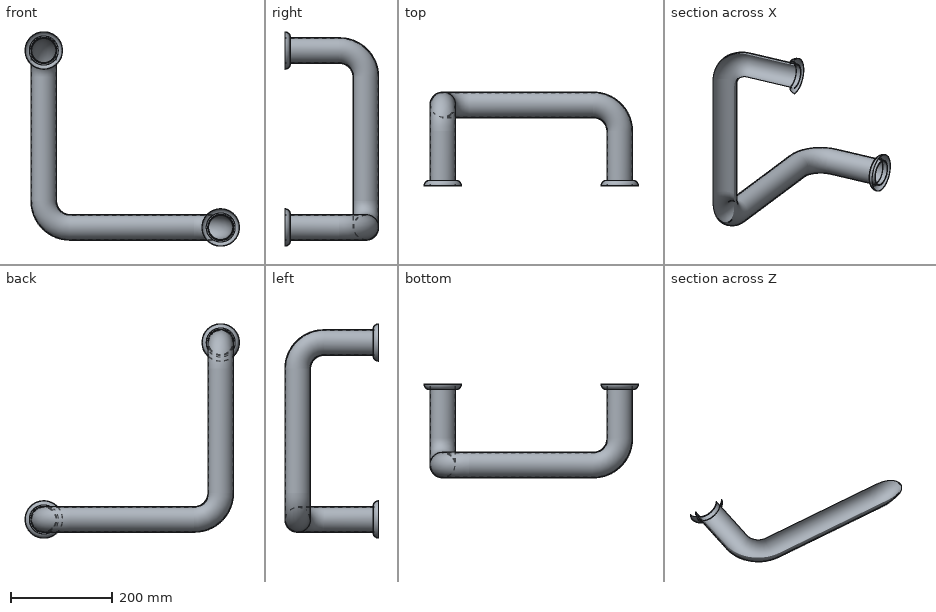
import cadquery as cq
import math

OVERALL = 423.0
DEPTH = 185.5

TUBE_OD = 50.8
TUBE_ID = 48.0
BEND_RADIUS = 52.0

FLANGE_OD = 74.0
FLANGE_BORE = 51.0
FLANGE_HEIGHT = 11.0
FLANGE_WALL = 0.5
DOME_RADIUS = 11.5

LEG_SPACING = OVERALL - FLANGE_OD
BACK_AXIS_Y = DEPTH - TUBE_OD / 2
LEG_PLACES = [(0, LEG_SPACING), (LEG_SPACING, 0)]


def line(start, end):
    """Straight edge between two points."""
    return cq.Edge.makeLine(cq.Vector(*start), cq.Vector(*end))


def arc(start, middle, end):
    """Circular edge through three points."""
    return cq.Edge.makeThreePointArc(cq.Vector(*start), cq.Vector(*middle), cq.Vector(*end))


def make_tube():
    """Bent tube swept along two legs and an L, joined by three equal bends."""
    r = BEND_RADIUS
    mid = r * (1 - math.sqrt(0.5))
    far = LEG_SPACING
    back = BACK_AXIS_Y
    edges = [
        line((0, 0, far), (0, back - r, far)),
        arc((0, back - r, far), (0, back - mid, far - mid), (0, back, far - r)),
        line((0, back, far - r), (0, back, r)),
        arc((0, back, r), (mid, back, mid), (r, back, 0)),
        line((r, back, 0), (far - r, back, 0)),
        arc((far - r, back, 0), (far - mid, back - mid, 0), (far, back - r, 0)),
        line((far, back - r, 0), (far, 0, 0)),
    ]
    path = cq.Wire.assembleEdges(edges)
    return (
        cq.Workplane("XZ", origin=(0, 0, far))
        .circle(TUBE_OD / 2)
        .circle(TUBE_ID / 2)
        .sweep(path)
    )


def make_flange(x, z):
    """Thin cup revolved about the leg axis: flat face at the back, domed wall, open rim at Y = 0."""
    rim = FLANGE_OD / 2
    bore = FLANGE_BORE / 2
    inner_height = FLANGE_HEIGHT - FLANGE_WALL
    inner_radius = DOME_RADIUS - FLANGE_WALL
    dome_centre = rim - DOME_RADIUS
    outer_face = dome_centre + math.sqrt(DOME_RADIUS**2 - FLANGE_HEIGHT**2)
    inner_face = dome_centre + math.sqrt(inner_radius**2 - inner_height**2)

    def dome_middle(radius, height):
        """Midpoint of the dome arc that rises from the rim plane to the given height."""
        half_angle = math.asin(height / radius) / 2
        return (dome_centre + radius * math.cos(half_angle), radius * math.sin(half_angle))

    return (
        cq.Workplane("XY", origin=(x, 0, z))
        .moveTo(bore, FLANGE_HEIGHT)
        .lineTo(outer_face, FLANGE_HEIGHT)
        .threePointArc(dome_middle(DOME_RADIUS, FLANGE_HEIGHT), (rim, 0))
        .lineTo(rim - FLANGE_WALL, 0)
        .threePointArc(dome_middle(inner_radius, inner_height), (inner_face, inner_height))
        .lineTo(bore, inner_height)
        .close()
        .revolve(360, (0, 0), (0, 1))
    )


tube = make_tube()
flanges = [make_flange(x, z) for x, z in LEG_PLACES]

result = cq.Compound.makeCompound([tube.val(), *[flange.val() for flange in flanges]])